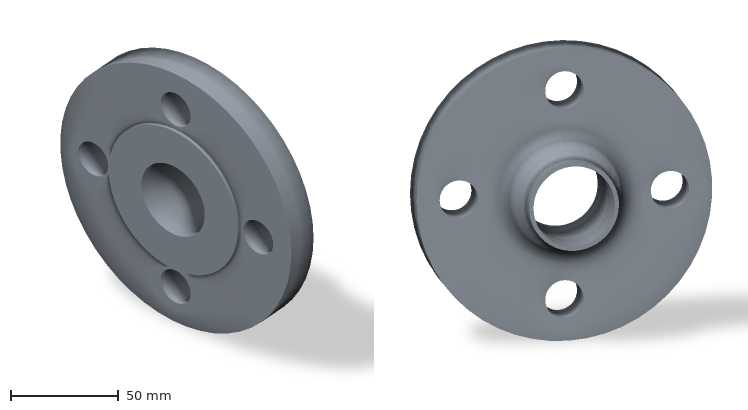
import cadquery as cq

flange_diameter = 140.0
overall_length = 42.0
face_diameter = 78.0
face_height = 2.0
plate_thickness = 16.1
bore_diameter = 38.4

weld_end_diameter = 42.4
weld_end_length = 6.0
cone_base_diameter = 56.0
cone_tip_setback = 1.1
weld_end_blend_radius = 6.0
plate_blend_radius = 6.0

bolt_circle_diameter = 100.0
bolt_hole_diameter = 18.0
bolt_hole_count = 4

plate_front = face_height
plate_back = plate_front + plate_thickness
cone_end = overall_length - weld_end_length - cone_tip_setback


def make_body():
    """Revolve the half section of the raised face, plate and neck about Y."""
    section = (
        cq.Workplane("XY")
        .lineTo(face_diameter / 2, 0)
        .lineTo(face_diameter / 2, plate_front)
        .lineTo(flange_diameter / 2, plate_front)
        .lineTo(flange_diameter / 2, plate_back)
        .lineTo(cone_base_diameter / 2, plate_back)
        .lineTo(weld_end_diameter / 2, cone_end)
        .lineTo(weld_end_diameter / 2, overall_length)
        .lineTo(0, overall_length)
        .close()
    )
    return section.revolve(360, (0, 0, 0), (0, 1, 0))


def blend_neck(body):
    """Round the inside corners at the two ends of the cone."""
    cone = body.faces("%CONE")
    base_edge = cone.edges("%CIRCLE").edges("<Y")
    body = base_edge.fillet(plate_blend_radius)
    tip_edge = body.faces("%CONE").edges("%CIRCLE").edges(">Y")
    return tip_edge.fillet(weld_end_blend_radius)


def make_holes():
    """Cutters for the central bore and the ring of bolt holes."""
    bore = cq.Workplane("XZ").circle(bore_diameter / 2).extrude(-overall_length)
    bolts = (
        cq.Workplane("XZ")
        .polarArray(bolt_circle_diameter / 2, 0, 360, bolt_hole_count)
        .circle(bolt_hole_diameter / 2)
        .extrude(-overall_length)
    )
    return bore.union(bolts)


result = blend_neck(make_body()).cut(make_holes())